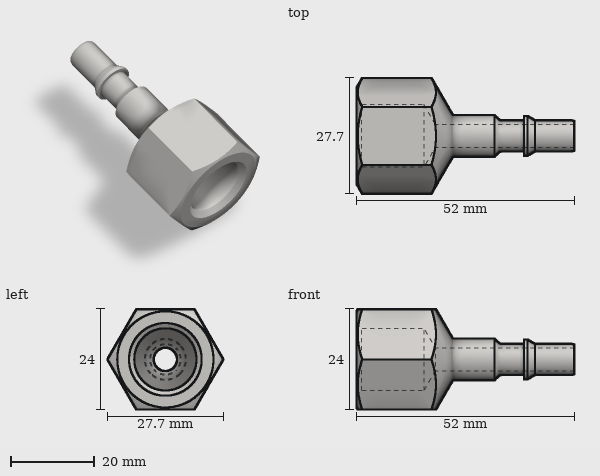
import cadquery as cq
import math

LENGTH = 52.0
ACROSS_FLATS = 24.0
CONE_HALF_ANGLE = 60.0

FACE_RADIUS = 11.5
HEX_END = 19.0

SHANK_RADIUS = 5.0
SHANK_END = 32.95
SHOULDER_FILLET = 0.35

NECK_RADIUS = 3.75
NECK_FILLET = 1.1

COLLAR_RADIUS = 4.8
COLLAR_START = 40.0
COLLAR_WIDTH = 0.85
COLLAR_TAPER_ANGLE = 30.0
COLLAR_ROOT_FILLET = 0.1

TIP_ROUND_START = 51.2
TIP_CONE_START = 51.7
TIP_CONE_ANGLE = 20.0

SOCKET_RADIUS = 7.45
SOCKET_DEPTH = 16.1
MOUTH_RADIUS = 8.7
PASSAGE_RADIUS = 2.75

EDGE_TOLERANCE = 0.005
BLANK_CLEARANCE = 0.5

CONE_SLOPE = math.tan(math.radians(CONE_HALF_ANGLE))
FLAT_RADIUS = ACROSS_FLATS / 2
CORNER_RADIUS = FLAT_RADIUS / math.cos(math.radians(30))
BLANK_RADIUS = CORNER_RADIUS + BLANK_CLEARANCE
SHOULDER_END = HEX_END + (FLAT_RADIUS - SHANK_RADIUS) / CONE_SLOPE
NECK_START = SHANK_END + SHANK_RADIUS - NECK_RADIUS
COLLAR_TAPER_START = COLLAR_START + COLLAR_WIDTH
COLLAR_SLOPE = math.tan(math.radians(COLLAR_TAPER_ANGLE))
COLLAR_END = COLLAR_TAPER_START + (COLLAR_RADIUS - NECK_RADIUS) / COLLAR_SLOPE
TIP_ROUND_LENGTH = TIP_CONE_START - TIP_ROUND_START
TIP_ROUND_DROP = TIP_ROUND_LENGTH * math.tan(math.radians(TIP_CONE_ANGLE / 2))
TIP_CONE_DROP = (LENGTH - TIP_CONE_START) * math.tan(math.radians(TIP_CONE_ANGLE))
TIP_RADIUS = NECK_RADIUS - TIP_ROUND_DROP - TIP_CONE_DROP


def revolve(profile):
    """Turn a closed (x, radius) profile about the X axis."""
    return profile.close().revolve(360, (0, 0, 0), (1, 0, 0))


def fillet_at(body, x, radius, size):
    """Round the circular edge that lies at the given x and radius."""
    corner = cq.selectors.BoxSelector(
        (x - EDGE_TOLERANCE, -radius - EDGE_TOLERANCE, -radius - EDGE_TOLERANCE),
        (x + EDGE_TOLERANCE, radius + EDGE_TOLERANCE, radius + EDGE_TOLERANCE),
        boundingbox=True,
    )
    return body.edges(corner).fillet(size)


def make_hex():
    """Hexagonal bar with flats on top and bottom, its ends turned to cones."""
    hexagon = cq.Workplane("YZ").polygon(6, 2 * CORNER_RADIUS).extrude(SHOULDER_END)
    envelope = revolve(
        cq.Workplane("XY")
        .lineTo(0, FACE_RADIUS)
        .lineTo((BLANK_RADIUS - FACE_RADIUS) / CONE_SLOPE, BLANK_RADIUS)
        .lineTo(HEX_END - (BLANK_RADIUS - FLAT_RADIUS) / CONE_SLOPE, BLANK_RADIUS)
        .lineTo(SHOULDER_END, SHANK_RADIUS)
        .lineTo(SHOULDER_END, 0)
    )
    return hexagon.intersect(envelope)


def make_plug():
    """Shank, neck, collar and tapered tip."""
    return revolve(
        cq.Workplane("XY")
        .moveTo(HEX_END, 0)
        .lineTo(HEX_END, SHANK_RADIUS)
        .lineTo(SHANK_END, SHANK_RADIUS)
        .lineTo(NECK_START, NECK_RADIUS)
        .lineTo(COLLAR_START, NECK_RADIUS)
        .lineTo(COLLAR_START, COLLAR_RADIUS)
        .lineTo(COLLAR_TAPER_START, COLLAR_RADIUS)
        .lineTo(COLLAR_END, NECK_RADIUS)
        .lineTo(TIP_ROUND_START, NECK_RADIUS)
        .tangentArcPoint((TIP_ROUND_LENGTH, -TIP_ROUND_DROP))
        .lineTo(LENGTH, TIP_RADIUS)
        .lineTo(LENGTH, 0)
    )


def make_bore():
    """Countersunk socket with a conical bottom and a passage to the tip."""
    return revolve(
        cq.Workplane("XY")
        .lineTo(0, MOUTH_RADIUS)
        .lineTo(MOUTH_RADIUS - SOCKET_RADIUS, SOCKET_RADIUS)
        .lineTo(SOCKET_DEPTH, SOCKET_RADIUS)
        .lineTo(SOCKET_DEPTH + (SOCKET_RADIUS - PASSAGE_RADIUS) / CONE_SLOPE, PASSAGE_RADIUS)
        .lineTo(LENGTH, PASSAGE_RADIUS)
        .lineTo(LENGTH, 0)
    )


body = make_hex().union(make_plug())
body = fillet_at(body, SHOULDER_END, SHANK_RADIUS, SHOULDER_FILLET)
body = fillet_at(body, NECK_START, NECK_RADIUS, NECK_FILLET)
body = fillet_at(body, COLLAR_START, NECK_RADIUS, COLLAR_ROOT_FILLET)
result = body.cut(make_bore())